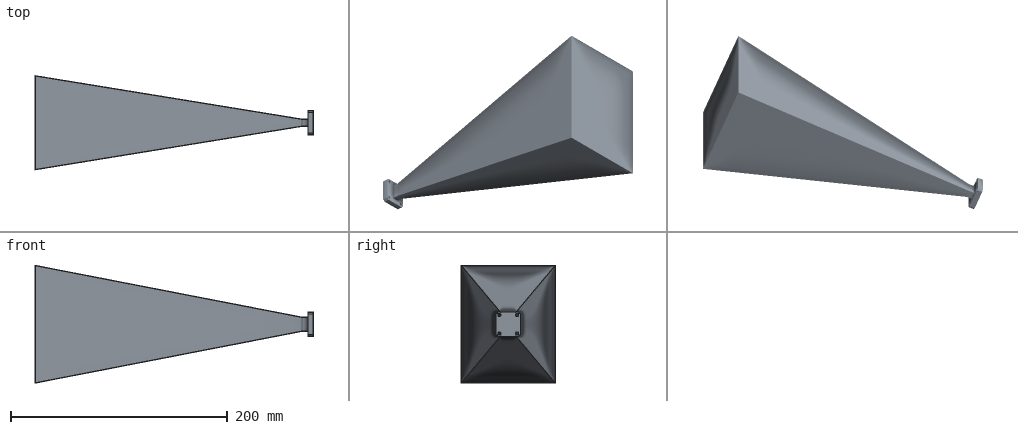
import cadquery as cq

total_length = 256.5
mouth_width = 86.7
mouth_height = 108.5
rim_width = 0.5
recess_depth = 0.3

neck_width = 6.7
neck_height = 13.0
neck_length = 5.5

flange_side = 22.3
flange_thickness = 5.1
flange_corner = 1.8
hole_diameter = 2.8
hole_spacing_y = 16.5
hole_spacing_z = 17.0

mouth_x = -total_length / 2
flange_x = total_length / 2 - flange_thickness
neck_x = flange_x - neck_length


def make_horn():
    """Solid pyramid tapering from the mouth to the neck."""
    return (
        cq.Workplane("YZ", origin=(mouth_x, 0, 0))
        .rect(mouth_width, mouth_height)
        .workplane(offset=neck_x - mouth_x)
        .rect(neck_width, neck_height)
        .loft(ruled=True)
    )


def make_mouth_recess():
    """Shallow pocket that leaves a thin rim around the mouth."""
    return (
        cq.Workplane("YZ", origin=(mouth_x, 0, 0))
        .rect(mouth_width - 2 * rim_width, mouth_height - 2 * rim_width)
        .extrude(recess_depth)
    )


def make_neck():
    """Straight waveguide between the horn and the flange."""
    return (
        cq.Workplane("YZ", origin=(neck_x, 0, 0))
        .rect(neck_width, neck_height)
        .extrude(neck_length)
    )


def make_flange():
    """Square plate with chamfered corners and four through holes."""
    return (
        cq.Workplane("YZ", origin=(flange_x, 0, 0))
        .rect(flange_side, flange_side)
        .extrude(flange_thickness)
        .edges("|X")
        .chamfer(flange_corner)
        .faces("<X")
        .workplane()
        .rect(hole_spacing_y, hole_spacing_z, forConstruction=True)
        .vertices()
        .hole(hole_diameter)
    )


horn = make_horn().cut(make_mouth_recess())
result = horn.union(make_neck()).union(make_flange())